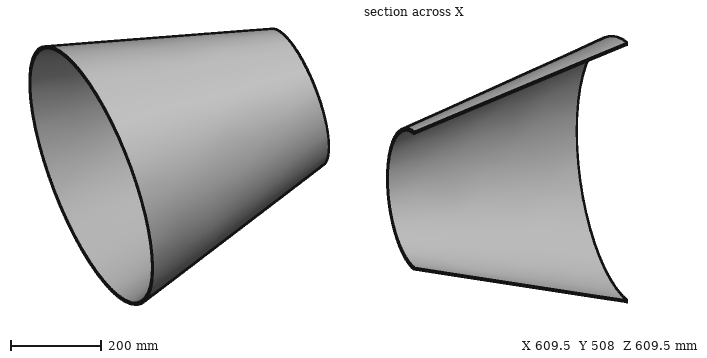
import cadquery as cq

length = 508.0
wide_diameter = 609.5
narrow_diameter = 324.0
radial_wall = 5.2

wide_radius = wide_diameter / 2
narrow_radius = narrow_diameter / 2
wide_end = -length / 2
narrow_end = length / 2

wall_section = (
    cq.Workplane("XY")
    .moveTo(wide_radius - radial_wall, wide_end)
    .lineTo(wide_radius, wide_end)
    .lineTo(narrow_radius, narrow_end)
    .lineTo(narrow_radius - radial_wall, narrow_end)
    .close()
)

result = wall_section.revolve(360, (0, 0, 0), (0, 1, 0))